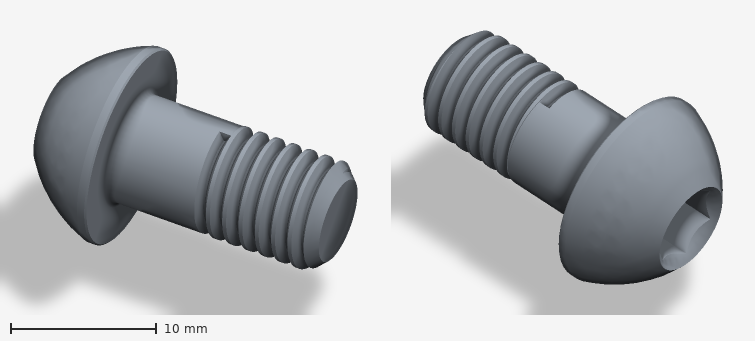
import cadquery as cq
import math


total_length = 21.72
head_diameter = 14.29
head_height = 5.92
head_face_diameter = 6.58
rim_start = 5.24
rim_chamfer = 0.12
dome_radius = 10.6

hex_across_flats = 5.0
socket_depth = 4.3
socket_cone_half_angle = 45.0

shank_diameter = 7.88
shank_end = 13.22
underhead_fillet = 0.4
thread_diameter = 8.0
thread_pitch = 1.25
thread_depth = 0.70
thread_half_angle = 30.0
crest_width = 0.30
groove_start = 12.75
groove_start_angle = 80.5
groove_turns = 7
groove_overcut = 0.15
thread_end = 21.31
tip_diameter = 6.0

head_radius = head_diameter / 2
head_face_radius = head_face_diameter / 2
shank_radius = shank_diameter / 2
thread_radius = thread_diameter / 2
root_radius = thread_radius - thread_depth
tip_radius = tip_diameter / 2
tip_start = total_length - (thread_radius - tip_radius)


def make_blank():
    """Revolve the screw outline (axial position, radius) about the X axis."""
    outline = (
        cq.Workplane("XY")
        .lineTo(0, head_face_radius)
        .radiusArc((rim_start, head_radius), dome_radius)
        .lineTo(head_height - rim_chamfer, head_radius)
        .lineTo(head_height, head_radius - rim_chamfer)
        .lineTo(head_height, shank_radius + underhead_fillet)
        .radiusArc((head_height + underhead_fillet, shank_radius), -underhead_fillet)
        .lineTo(shank_end, shank_radius)
        .lineTo(shank_end, thread_radius)
        .lineTo(tip_start, thread_radius)
        .lineTo(total_length, tip_radius)
        .lineTo(total_length, 0)
        .close()
    )
    return outline.revolve(360, (0, 0, 0), (1, 0, 0))


def make_socket():
    """Hex prism with corners on +Z and -Z, plus its conical lead-in."""
    corner_diameter = hex_across_flats / math.cos(math.radians(30))
    hexagon = (
        cq.Workplane("YZ")
        .transformed(rotate=(0, 0, 90))
        .polygon(6, corner_diameter)
        .extrude(socket_depth)
    )
    cone_depth = head_face_radius / math.tan(math.radians(socket_cone_half_angle))
    cone = cq.Workplane("XY").polyline([(0, 0), (0, head_face_radius), (cone_depth, 0)]).close()
    return hexagon.union(cone.revolve(360, (0, 0, 0), (1, 0, 0)))


def make_groove_turn():
    """Sweep the groove section through one right-handed turn, starting at the first section."""
    outer_radius = thread_radius + groove_overcut
    flank_slope = math.tan(math.radians(thread_half_angle))
    root_half_width = (thread_pitch - crest_width) / 2 - thread_depth * flank_slope
    outer_half_width = root_half_width + (outer_radius - root_radius) * flank_slope

    helix = cq.Wire.makeHelix(thread_pitch, thread_pitch, root_radius)
    section = cq.Workplane("XZ").polyline([
        (root_radius, -root_half_width),
        (root_radius, root_half_width),
        (outer_radius, outer_half_width),
        (outer_radius, -outer_half_width),
    ]).close()
    return (
        section.sweep(cq.Workplane(helix), isFrenet=True)
        .rotate((0, 0, 0), (0, 0, 1), groove_start_angle + 90)
        .rotate((0, 0, 0), (0, 1, 0), 90)
        .translate((groove_start, 0, 0))
    )


def cut_thread(blank):
    """Cut the groove turn by turn, leaving everything beyond the thread end plane whole."""
    thread_zone = cq.Workplane("YZ").circle(head_radius).extrude(thread_end)
    groove_turn = make_groove_turn()
    threaded = blank
    for turn in range(groove_turns):
        next_turn = groove_turn.translate((turn * thread_pitch, 0, 0))
        threaded = threaded.cut(next_turn.intersect(thread_zone))
    return threaded


result = cut_thread(make_blank()).cut(make_socket())